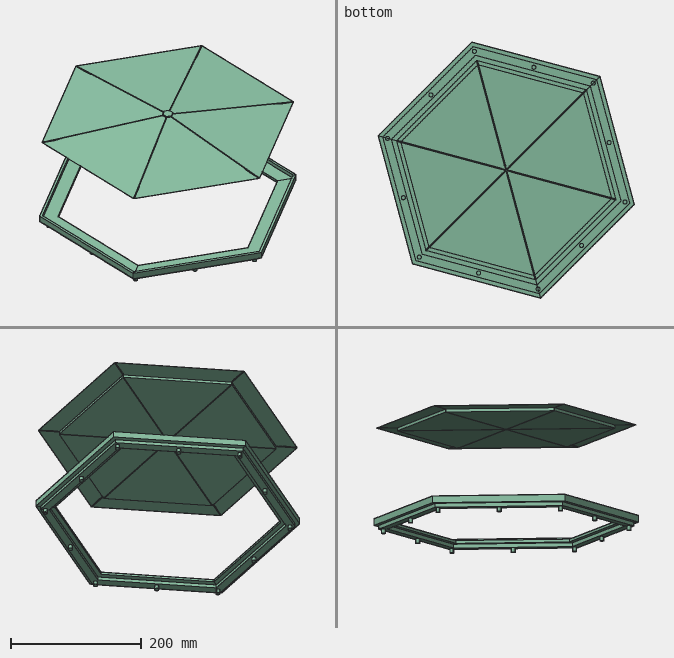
import cadquery as cq
import math

SIDES = 6
SIDE_ANGLE = 360 / SIDES
FIRST_CORNER = 15

OVERALL_WIDTH = 392.5
OVERALL_HEIGHT = 181.5

SEGMENTS = 3
SEGMENT_ANGLE = 360 / SEGMENTS
FIRST_SEAM = 75
FRAME_RADIUS = OVERALL_WIDTH / 2 / math.cos(math.radians(FIRST_CORNER))
RIM_RADIUS = 198.5
OPENING_RADIUS = 174.0
SKIRT_RADIUS = 196.0
SKIRT_INNER_RADIUS = 182.0
FRAME_HEIGHT = 10.5
RIM_DEPTH = 6.3
SKIRT_HEIGHT = 6.0

PIN_DIAMETER = 6.3
PIN_HEIGHT = 6.5
CORNER_PIN_RADIUS = 188.5
MID_PIN_RADIUS = CORNER_PIN_RADIUS * math.cos(math.radians(SIDE_ANGLE / 2))

SKIRT_BOTTOM = PIN_HEIGHT
FRAME_BOTTOM = SKIRT_BOTTOM + SKIRT_HEIGHT
FLOOR_HEIGHT = FRAME_HEIGHT - RIM_DEPTH

ROOF_RADIUS = 199.5
ROOF_BOTTOM = 164.5
PANEL_GAP = 1.1
PLUG_RADIUS = 167.2
PLUG_DEPTH = 4.7
HUB_RADIUS = 8.2
HUB_HEIGHT = 2.5
HUB_BOTTOM = OVERALL_HEIGHT - HUB_HEIGHT


def hexagon_corners(radius):
    angles = [math.radians(FIRST_CORNER + i * SIDE_ANGLE) for i in range(SIDES)]
    return [(radius * math.cos(a), radius * math.sin(a)) for a in angles]


def hexagon_prism(radius, bottom, height):
    return cq.Workplane("XY").workplane(offset=bottom).polyline(hexagon_corners(radius)).close().extrude(height)


def sector_prism(start_angle, end_angle):
    """Upright triangle from the axis past the frame, covering everything between two directions."""
    reach = 2 * OVERALL_WIDTH
    corners = [(0, 0)]
    for angle in (start_angle, end_angle):
        corners.append((reach * math.cos(math.radians(angle)), reach * math.sin(math.radians(angle))))
    return cq.Workplane("XY").polyline(corners).close().extrude(OVERALL_HEIGHT)


def pin_ring(ring_radius, first_angle):
    ring = cq.Workplane("XY").polarArray(ring_radius, first_angle, 360, SIDES)
    return ring.circle(PIN_DIAMETER / 2).extrude(PIN_HEIGHT)


def make_whole_frame():
    """Frame with its rim, floor, skirt and pins, before it is split at the seams."""
    frame = hexagon_prism(FRAME_RADIUS, FRAME_BOTTOM, FRAME_HEIGHT)
    frame = frame.cut(hexagon_prism(RIM_RADIUS, FRAME_BOTTOM + FLOOR_HEIGHT, RIM_DEPTH))
    frame = frame.cut(hexagon_prism(OPENING_RADIUS, FRAME_BOTTOM, FLOOR_HEIGHT))
    skirt = hexagon_prism(SKIRT_RADIUS, SKIRT_BOTTOM, SKIRT_HEIGHT)
    skirt = skirt.cut(hexagon_prism(SKIRT_INNER_RADIUS, SKIRT_BOTTOM, SKIRT_HEIGHT))
    corner_pins = pin_ring(CORNER_PIN_RADIUS, FIRST_CORNER)
    mid_pins = pin_ring(MID_PIN_RADIUS, FIRST_CORNER + SIDE_ANGLE / 2)
    return frame.union(skirt).union(corner_pins).union(mid_pins)


def make_frame_segment(whole_frame, index):
    """Two neighbouring sides of the frame; the seams also halve the pins they pass through."""
    seam = FIRST_SEAM + index * SEGMENT_ANGLE
    return whole_frame.intersect(sector_prism(seam, seam + SEGMENT_ANGLE))


def make_whole_roof():
    """Low pyramid with a flat top for the hub and a hexagonal plug below, before it is cut into panels."""
    pyramid = (
        cq.Workplane("XY")
        .workplane(offset=ROOF_BOTTOM)
        .polyline(hexagon_corners(ROOF_RADIUS))
        .close()
        .workplane(offset=HUB_BOTTOM - ROOF_BOTTOM)
        .polyline(hexagon_corners(HUB_RADIUS))
        .close()
        .loft(ruled=True)
    )
    return pyramid.union(hexagon_prism(PLUG_RADIUS, ROOF_BOTTOM - PLUG_DEPTH, PLUG_DEPTH))


def make_panel(whole_roof, index):
    """One sixth of the roof, set back from both neighbours by half the gap."""
    start = FIRST_CORNER + index * SIDE_ANGLE
    middle = math.radians(start + SIDE_ANGLE / 2)
    set_back = PANEL_GAP / 2 / math.sin(math.radians(SIDE_ANGLE / 2))
    sector = sector_prism(start, start + SIDE_ANGLE)
    sector = sector.translate((set_back * math.cos(middle), set_back * math.sin(middle), 0))
    return whole_roof.intersect(sector)


whole_frame = make_whole_frame()
frame_segments = [make_frame_segment(whole_frame, i) for i in range(SEGMENTS)]

whole_roof = make_whole_roof()
panels = [make_panel(whole_roof, i) for i in range(SIDES)]

hub = hexagon_prism(HUB_RADIUS, HUB_BOTTOM, HUB_HEIGHT)

result = cq.Compound.makeCompound(
    [
        *[segment.val() for segment in frame_segments],
        *[panel.val() for panel in panels],
        hub.val(),
    ]
)